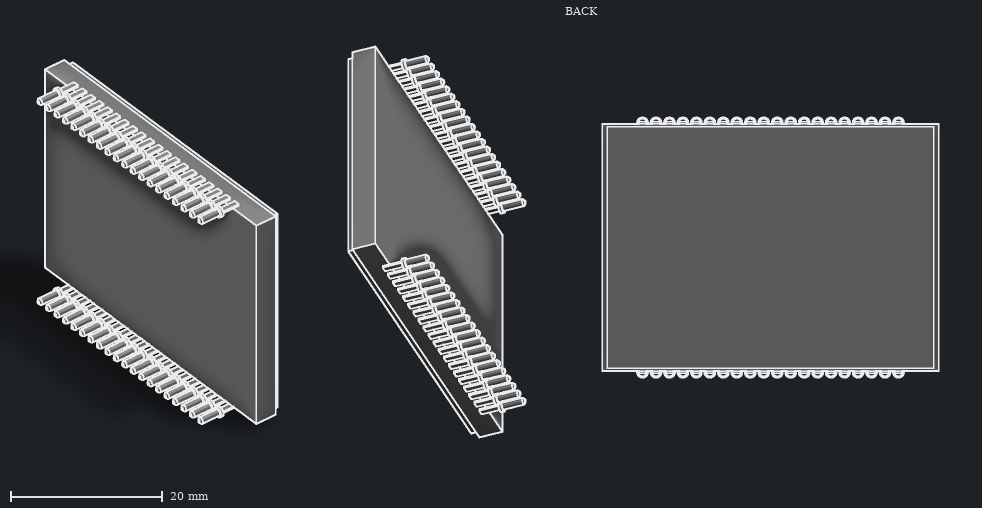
import cadquery as cq

body_width = 44.45
body_height = 32.63
body_depth = 3.3
lid_width = 43.03
lid_height = 31.83
lid_depth = 0.9

pins_per_row = 20
pin_pitch = 1.8

lead_width = 0.9
lead_thickness = 0.25
lead_overlap = 1.0
collar_diameter = 1.45
collar_depth = 0.45
recess_diameter = 1.1
recess_depth = 0.2
shank_diameter = 1.0
shank_depth = 3.15
tip_length = 0.29
tip_inset = 0.29

total_depth = 9.6
pin_tip_y = body_depth + lid_depth - total_depth
collar_front_y = pin_tip_y + shank_depth
collar_back_y = collar_front_y + collar_depth
lead_root_y = collar_back_y - recess_depth
lead_length = lead_overlap - lead_root_y
lead_center_z = (body_height + lead_thickness) / 2


def make_slab(width, depth, height, front_y):
    """Box centred in X and Z that extends from front_y toward +Y."""
    return cq.Workplane("XY").box(width, depth, height).translate((0, front_y + depth / 2, 0))


def make_rod(diameter, depth, back_y):
    """Round rod along Y that extends from back_y toward -Y."""
    return cq.Workplane("XZ", origin=(0, back_y, 0)).circle(diameter / 2).extrude(depth)


def make_pin():
    """Flat lead seated in the recessed back of a collar, and a chamfered shank, on the Y axis."""
    lead = make_slab(lead_width, lead_length, lead_thickness, lead_root_y)
    collar = make_rod(collar_diameter, collar_depth, collar_back_y)
    recess = make_rod(recess_diameter, recess_depth, collar_back_y)
    shank = make_rod(shank_diameter, shank_depth, collar_front_y).faces("<Y").chamfer(tip_length, tip_inset)
    return collar.cut(recess).union(lead).union(shank)


result = make_slab(body_width, body_depth, body_height, 0)
result = result.union(make_slab(lid_width, lid_depth, lid_height, body_depth))

pin = make_pin()
first_pin_x = -pin_pitch * (pins_per_row - 1) / 2
for row_z in (lead_center_z, -lead_center_z):
    for index in range(pins_per_row):
        result = result.union(pin.translate((first_pin_x + index * pin_pitch, 0, row_z)))